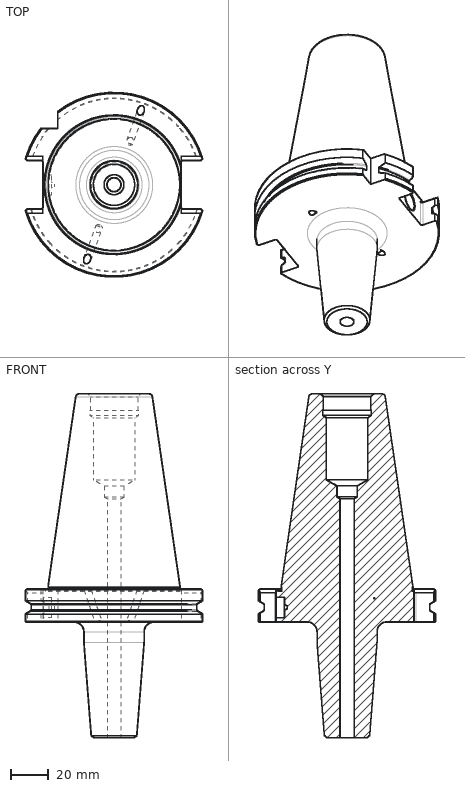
import cadquery as cq
import math


total_height = 181.6
gauge_height = 80.0

gauge_radius = 34.9
taper_slope = 7 / 48
taper_end_fillet = 2.0

flange_radius = 48.75
flange_bottom = 61.0
flange_top = 78.6
flange_chamfer = 0.5

recess_radius = 36.5
recess_floor = 77.4
recess_edge_chamfer = 0.4
recess_corner_radius = 0.5
gauge_land_height = 0.7
undercut_depth = 0.4

groove_height = 68.8
groove_root_radius = 45.5
groove_root_width = 3.5
groove_root_fillet = 0.7
groove_flank_angle = 30.0

neck_radius = 16.0
neck_fillet = 5.0
neck_bottom = 50.5
nose_angle = 4.5
nose_chamfer_height = 1.0
nose_chamfer_width = 1.5

mouth_radius = 14.7
mouth_inner_radius = 13.0
mouth_round_depth = 0.9
mouth_depth = 1.6
pilot_radius = 12.5
pilot_depth = 8.7
relief_radius = 12.7
relief_depth = 11.5
thread_radius = 10.9
thread_start_depth = 12.7
thread_end_depth = 45.4
drill_radius = 5.3
drill_depth = 54.5
drill_point_half_angle = 60.0
through_radius = 3.6

slot_half_width = 12.7
slot_floor_left = 37.6
slot_floor_right = 35.5
slot_corner_fillet = 0.9
slot_top_chamfer_width = 2.4
slot_top_chamfer_depth = 2.0
slot_mouth_chamfer = 1.0

notch_x = -29.8
notch_y = 29.8

pocket_radius = 5.3
pocket_depth = 4.5
pocket_rim_chamfer = 0.4
pocket_pilot_radius = 1.5
pocket_pilot_end_radius = 0.7
pocket_pilot_depth = 1.5
pocket_height = groove_height

coolant_radius = 1.8
coolant_x = 14.2
coolant_y = 39.2
coolant_tilt = 45.0
coolant_length = 25.5

margin = 9.0


def make_body():
    """Revolve the outer profile of taper, flange, neck and nose."""
    end_radius = gauge_radius - taper_slope * (total_height - gauge_height)
    nose_radius = neck_radius - math.tan(math.radians(nose_angle)) * (neck_bottom - nose_chamfer_height)
    undercut_radius = gauge_radius - undercut_depth
    land_bottom = gauge_height - gauge_land_height
    fillet_center_radius = neck_radius + neck_fillet
    fillet_center_height = flange_bottom - neck_fillet
    fillet_middle = (
        fillet_center_radius - neck_fillet * math.sqrt(0.5),
        fillet_center_height + neck_fillet * math.sqrt(0.5),
    )
    profile = (
        cq.Workplane("XZ")
        .moveTo(0, 0)
        .lineTo(nose_radius - nose_chamfer_width, 0)
        .lineTo(nose_radius, nose_chamfer_height)
        .lineTo(neck_radius, neck_bottom)
        .lineTo(neck_radius, fillet_center_height)
        .threePointArc(fillet_middle, (fillet_center_radius, flange_bottom))
        .lineTo(flange_radius - flange_chamfer, flange_bottom)
        .lineTo(flange_radius, flange_bottom + flange_chamfer)
        .lineTo(flange_radius, flange_top - flange_chamfer)
        .lineTo(flange_radius - flange_chamfer, flange_top)
        .lineTo(recess_radius + recess_edge_chamfer, flange_top)
        .lineTo(recess_radius, flange_top - recess_edge_chamfer)
        .lineTo(recess_radius, recess_floor + recess_corner_radius)
        .radiusArc((recess_radius - recess_corner_radius, recess_floor), recess_corner_radius)
        .lineTo(undercut_radius + recess_corner_radius, recess_floor)
        .radiusArc((undercut_radius, recess_floor + recess_corner_radius), recess_corner_radius)
        .lineTo(undercut_radius, land_bottom - undercut_depth)
        .lineTo(gauge_radius, land_bottom)
        .lineTo(gauge_radius, gauge_height)
        .lineTo(end_radius, total_height)
        .lineTo(0, total_height)
        .close()
    )
    body = profile.revolve(360, (0, 0, 0), (0, 1, 0))
    return body.faces(">Z").edges().fillet(taper_end_fillet)


def make_groove():
    """Ring-shaped cutter for the V-groove, rounded in both root corners."""
    outer = flange_radius + margin
    root_half_width = groove_root_width / 2
    flank_rise = (outer - groove_root_radius) * math.tan(math.radians(groove_flank_angle))
    outer_half_width = root_half_width + flank_rise
    ring = (
        cq.Workplane("XZ", origin=(0, 0, groove_height))
        .polyline([
            (groove_root_radius, -root_half_width),
            (outer, -outer_half_width),
            (outer, outer_half_width),
            (groove_root_radius, root_half_width),
        ])
        .close()
        .revolve(360, (0, 0, 0), (0, 1, 0))
    )
    root_corners = cq.selectors.RadiusNthSelector(0)
    return ring.edges(root_corners).fillet(groove_root_fillet)


def make_bore():
    """Revolve the stepped bore, which narrows to a hole through the nose."""
    point_slope = 1 / math.tan(math.radians(drill_point_half_angle))
    round_width = mouth_radius - mouth_inner_radius
    round_radius = math.hypot(round_width, mouth_round_depth)**2 / (2 * mouth_round_depth)
    round_half_angle = math.atan2(mouth_round_depth, round_width)
    round_middle = (
        mouth_radius - round_radius * math.sin(round_half_angle),
        total_height - round_radius * (1 - math.cos(round_half_angle)),
    )
    thread_end = total_height - thread_end_depth
    drill_end = total_height - drill_depth
    return (
        cq.Workplane("XZ")
        .moveTo(0, total_height)
        .lineTo(mouth_radius, total_height)
        .threePointArc(round_middle, (mouth_inner_radius, total_height - mouth_round_depth))
        .lineTo(pilot_radius, total_height - mouth_depth)
        .lineTo(pilot_radius, total_height - pilot_depth)
        .lineTo(relief_radius, total_height - pilot_depth)
        .lineTo(relief_radius, total_height - relief_depth)
        .lineTo(thread_radius, total_height - thread_start_depth)
        .lineTo(thread_radius, thread_end)
        .lineTo(drill_radius, thread_end - (thread_radius - drill_radius) * point_slope)
        .lineTo(drill_radius, drill_end)
        .lineTo(through_radius, drill_end - (drill_radius - through_radius) * point_slope)
        .lineTo(through_radius, -margin)
        .lineTo(0, -margin)
        .close()
        .revolve(360, (0, 0, 0), (0, 1, 0))
    )


def make_slot(floor):
    """Drive slot on the +X side, with its floor at the given distance from the axis."""
    outer = flange_radius + margin
    height = flange_top - flange_bottom + margin
    slot = (
        cq.Workplane("XY", origin=(0, 0, flange_bottom))
        .center((floor + outer) / 2, 0)
        .rect(outer - floor, 2 * slot_half_width)
        .extrude(height)
        .edges("|Z and <X")
        .fillet(slot_corner_fillet)
    )

    bevel_half_width = slot_half_width + slot_top_chamfer_width
    bevel_bottom = flange_top - slot_top_chamfer_depth
    bevel = (
        cq.Workplane("YZ", origin=(floor, 0, 0))
        .polyline([
            (-slot_half_width, bevel_bottom),
            (slot_half_width, bevel_bottom),
            (bevel_half_width, flange_top),
            (-bevel_half_width, flange_top),
        ])
        .close()
        .extrude(outer - floor)
    )

    flare_half_width = slot_half_width + slot_mouth_chamfer
    rim_x = math.sqrt(flange_radius**2 - flare_half_width**2)
    flare_start = rim_x - slot_mouth_chamfer
    flare_end_half_width = slot_half_width + outer - flare_start
    flare = (
        cq.Workplane("XY", origin=(0, 0, flange_bottom))
        .polyline([
            (flare_start, -slot_half_width),
            (outer, -flare_end_half_width),
            (outer, flare_end_half_width),
            (flare_start, slot_half_width),
        ])
        .close()
        .extrude(height)
    )
    return slot.union(bevel).union(flare)


def make_notch():
    """Square corner cut through the full thickness of the flange."""
    reach = flange_radius + margin
    return cq.Workplane("XY").box(
        reach, reach, flange_top - flange_bottom, centered=False
    ).translate((notch_x - reach, notch_y, flange_bottom))


def make_pocket():
    """Round blind pocket with a small tapered pilot, sunk into the left slot floor."""
    rim_radius = pocket_radius + pocket_rim_chamfer
    pilot_end = pocket_depth + pocket_pilot_depth
    return (
        cq.Workplane("XY")
        .polyline([
            (0, 0),
            (0, rim_radius),
            (pocket_rim_chamfer, pocket_radius),
            (pocket_depth, pocket_radius),
            (pocket_depth, pocket_pilot_radius),
            (pilot_end, pocket_pilot_end_radius),
            (pilot_end, 0),
        ])
        .close()
        .revolve(360, (0, 0, 0), (1, 0, 0))
        .translate((-slot_floor_left, 0, pocket_height))
    )


def make_coolant_hole(side):
    """Blind hole leaning down and towards the axis; side is +1 or -1."""
    x = side * coolant_x
    y = side * coolant_y
    inward = math.sin(math.radians(coolant_tilt)) / math.hypot(x, y)
    direction = cq.Vector(-x * inward, -y * inward, -math.cos(math.radians(coolant_tilt)))
    opening = cq.Vector(x, y, flange_top)
    start = opening - direction * margin
    return cq.Solid.makeCylinder(coolant_radius, coolant_length + margin, start, direction)


result = make_body().cut(make_groove()).cut(make_bore())
result = result.cut(make_slot(slot_floor_right))
result = result.cut(make_slot(slot_floor_left).rotate((0, 0, 0), (0, 0, 1), 180))
result = result.cut(make_notch())
result = result.cut(make_pocket())
for side in (1, -1):
    result = result.cut(make_coolant_hole(side))